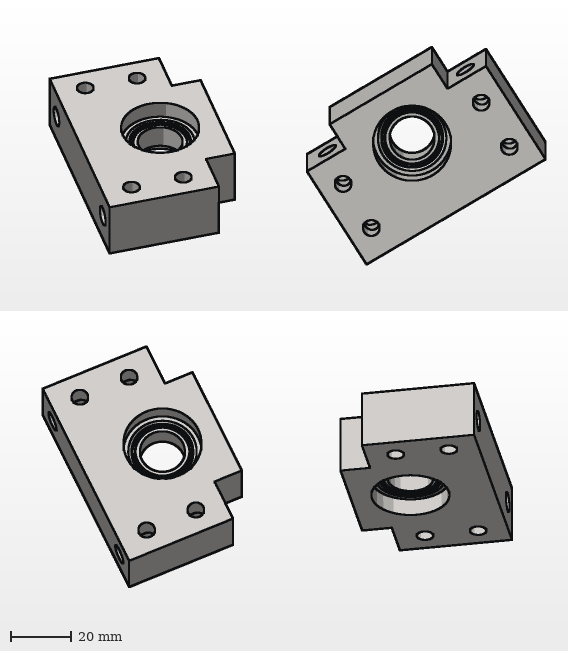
import cadquery as cq

length = 70.0
depth = 48.0
height = 20.0
body_depth = 38.0
tongue_width = 40.0
axis_to_front = 28.0
front_y = -axis_to_front

hole_spacing_x = 54.0
upright_hole_diameter = 5.5
upright_hole_rows = (0.0, -18.0)
cross_hole_diameter = 6.6

mouth_radius = 13.0
bearing_face_depth = 6.0
outer_ring_radius = 11.4
taper_depth = 1.05
shield_radius = 10.3
shield_lip_radius = 9.95
shield_lip_depth = 0.1
shield_depth = 0.15
gap_outer_radius = 9.2
gap_inner_radius = 8.95
gap_depth = 0.35
bore_radius = 7.5


def make_block():
    body = cq.Workplane("XY").box(length, body_depth, height, centered=(True, False, False))
    tongue = cq.Workplane("XY").box(tongue_width, depth, height, centered=(True, False, False))
    return body.union(tongue).translate((0, front_y, 0))


def make_upright_holes():
    places = [(side * hole_spacing_x / 2, y) for side in (-1, 1) for y in upright_hole_rows]
    return cq.Workplane("XY").pushPoints(places).circle(upright_hole_diameter / 2).extrude(height)


def make_cross_holes():
    places = [(side * hole_spacing_x / 2, height / 2) for side in (-1, 1)]
    drills = cq.Workplane("XZ").pushPoints(places).circle(cross_hole_diameter / 2).extrude(-depth)
    return drills.translate((0, front_y, 0))


def make_bearing_bore():
    """Revolved cavity mirrored about mid-height: mouth, tapered outer ring, shield and inner ring bore."""
    face_z = height - bearing_face_depth
    lip_z = face_z - shield_lip_depth
    shield_z = face_z - shield_depth
    gap_z = face_z - gap_depth
    profile = [
        (0, height / 2),
        (bore_radius, height / 2),
        (bore_radius, face_z),
        (gap_inner_radius, face_z),
        (gap_inner_radius, gap_z),
        (gap_outer_radius, gap_z),
        (gap_outer_radius, shield_z),
        (shield_lip_radius, shield_z),
        (shield_lip_radius, lip_z),
        (shield_radius, lip_z),
        (shield_radius, face_z - taper_depth),
        (outer_ring_radius, face_z),
        (mouth_radius, face_z),
        (mouth_radius, height),
        (0, height),
    ]
    upper_half = cq.Workplane("XZ").polyline(profile).close().revolve(360, (0, 0), (0, 1))
    return upper_half.union(upper_half.mirror("XY", (0, 0, height / 2)))


result = (
    make_block()
    .cut(make_upright_holes())
    .cut(make_cross_holes())
    .cut(make_bearing_bore())
)